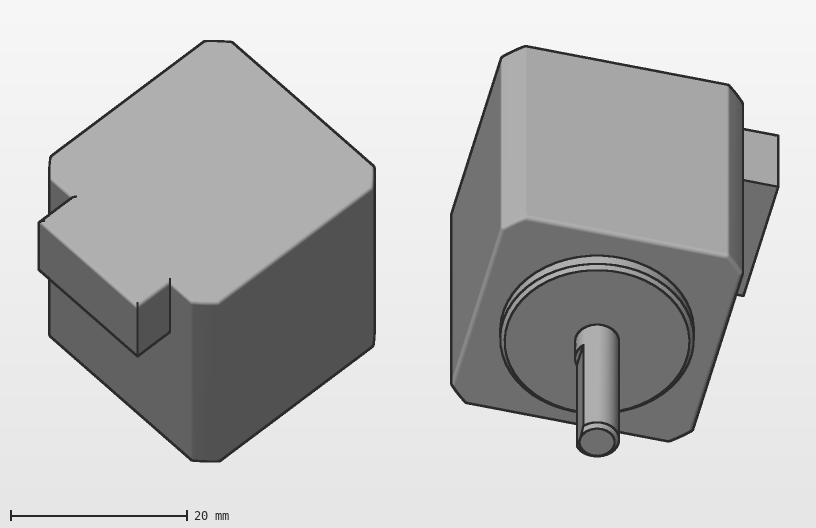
import cadquery as cq

total_height = 51.0
body_width = 28.3
body_height = 31.0
corner_diameter = 37.0
corner_blend = 0.5
end_radius = 0.5
edge_break = 0.5
connector_width = 16.5
connector_height = 9.5
connector_reach = 5.0
pilot_diameter = 22.0
pilot_height = 2.0
shaft_diameter = 5.0
shaft_flat_depth = 0.5
round_shaft_length = 3.0

pilot_bottom = -pilot_height
shaft_bottom = body_height - total_height
shaft_length = pilot_bottom - shaft_bottom
flat_length = shaft_length - round_shaft_length


def make_housing():
    """Body with corners trimmed to a cylinder, plus the connector flush with its top."""
    corner_cylinder = cq.Workplane("XY").circle(corner_diameter / 2).extrude(body_height)
    body = (
        cq.Workplane("XY")
        .rect(body_width, body_width)
        .extrude(body_height)
        .intersect(corner_cylinder)
        .edges("|Z")
        .fillet(corner_blend)
    )
    connector_length = body_width / 2 + connector_reach
    connector = (
        cq.Workplane("XY", origin=(0, 0, body_height - connector_height))
        .center(0, -connector_length / 2)
        .rect(connector_width, connector_length)
        .extrude(connector_height)
    )
    return body.union(connector).faces("<Z or >Z").edges().fillet(end_radius)


def make_pilot():
    """Round locating boss under the body."""
    return (
        cq.Workplane("XY")
        .circle(pilot_diameter / 2)
        .extrude(-pilot_height)
        .faces("<Z")
        .chamfer(edge_break)
    )


def make_shaft():
    """Output shaft with a bevelled tip and a flat facing +Y."""
    shaft = (
        cq.Workplane("XY", origin=(0, 0, pilot_bottom))
        .circle(shaft_diameter / 2)
        .extrude(-shaft_length)
        .faces("<Z")
        .chamfer(edge_break)
    )
    flat_y = shaft_diameter / 2 - shaft_flat_depth
    flat_cutter = cq.Workplane("XY", origin=(0, flat_y, shaft_bottom)).box(
        shaft_diameter, shaft_diameter, flat_length, centered=(True, False, False)
    )
    return shaft.cut(flat_cutter)


result = make_housing().union(make_pilot()).union(make_shaft())